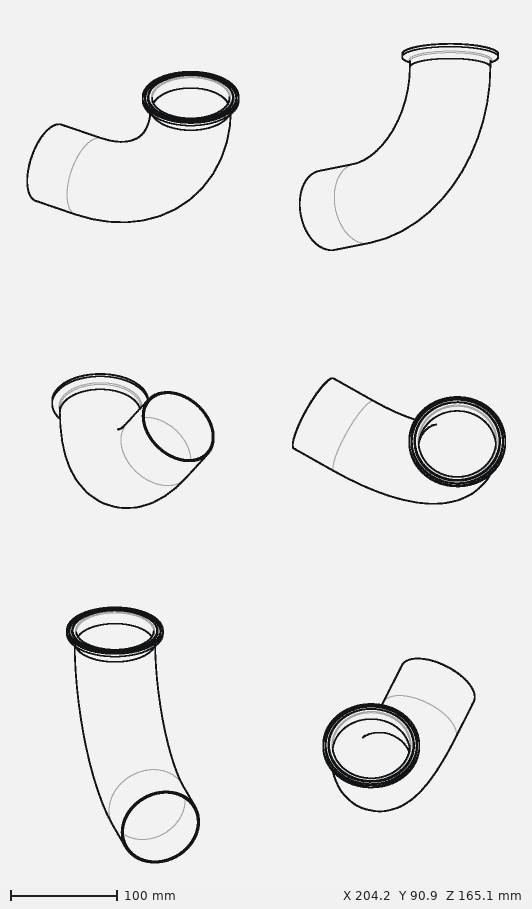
import cadquery as cq
import math

tube_diameter = 76.2
tube_radius = tube_diameter / 2
wall = 1.6
bore_radius = tube_radius - wall

overall_length = 204.2
bend_radius = 114.3

ferrule_height = 12.7
flange_diameter = 90.9
flange_radius = flange_diameter / 2
rim_height = 2.9
flange_slope = 22.0
neck_fillet = 1.5
mouth_round = 0.8

groove_diameter = 83.3
groove_radius = groove_diameter / 2
groove_top_width = 3.9
groove_bottom_width = 2.2
groove_wall_depth = 0.8
groove_depth = 1.6

leg_length = overall_length - bend_radius - flange_radius
face_z = bend_radius + ferrule_height


def make_elbow():
    """Straight leg and quarter bend, with the bend ending at z = bend_radius."""
    joint = cq.Workplane("YZ", origin=(-bend_radius, 0, 0))
    leg = joint.circle(tube_radius).circle(bore_radius).extrude(-leg_length)
    bend = (
        joint.circle(tube_radius).circle(bore_radius)
        .revolve(90, (0, bend_radius, 0), (-1, bend_radius, 0))
    )
    return leg.union(bend)


def make_groove():
    """Ring of material removed for the gasket bead."""
    bottom_z = face_z - groove_wall_depth
    half_top = groove_top_width / 2
    half_bottom = groove_bottom_width / 2
    return (
        cq.Workplane("XZ")
        .moveTo(groove_radius - half_top, face_z)
        .lineTo(groove_radius - half_bottom, bottom_z)
        .threePointArc((groove_radius, face_z - groove_depth), (groove_radius + half_bottom, bottom_z))
        .lineTo(groove_radius + half_top, face_z)
        .close()
        .revolve(360, (0, 0, 0), (0, 1, 0))
    )


def make_ferrule():
    """Neck and flange turned about Z, standing on the upper end of the elbow."""
    rim_z = face_z - rim_height
    flange_drop = (flange_radius - tube_radius) * math.tan(math.radians(flange_slope))
    flange_root_z = rim_z - flange_drop
    body = (
        cq.Workplane("XZ")
        .moveTo(bore_radius, bend_radius)
        .lineTo(tube_radius, bend_radius)
        .lineTo(tube_radius, flange_root_z)
        .lineTo(flange_radius, rim_z)
        .lineTo(flange_radius, face_z)
        .lineTo(bore_radius, face_z)
        .close()
        .revolve(360, (0, 0, 0), (0, 1, 0))
    )
    flange_root = body.edges("%CIRCLE").edges(cq.selectors.CenterNthSelector(cq.Vector(0, 0, 1), 1))
    body = flange_root.fillet(neck_fillet)
    mouth = body.faces(">Z").edges(cq.selectors.RadiusNthSelector(0))
    body = mouth.fillet(mouth_round)
    return body.cut(make_groove())


elbow = make_elbow()
ferrule = make_ferrule()

result = cq.Compound.makeCompound([elbow.val(), ferrule.val()])